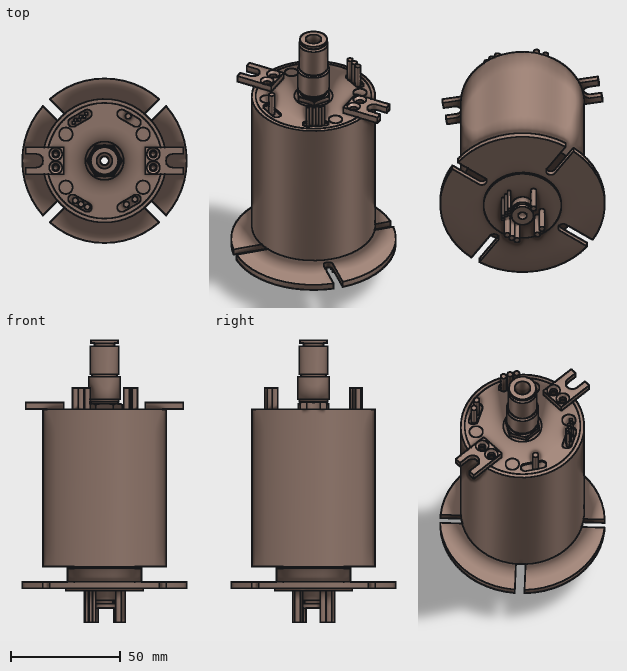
import cadquery as cq
import math

BORE_RADIUS = 1.9

STUB_BOTTOM = 6.4
PILOT_BOTTOM = 14.2
FLANGE_BOTTOM = 15.4
FLANGE_TOP = 18.3
HUB_TOP = 24.5
HOUSING_BOTTOM = 25.3
HOUSING_TOP = 97.0
FITTING_TOP = 128.3

FLANGE_RADIUS = 37.5
FLANGE_SLOT_WIDTH = 4.4
FLANGE_SLOT_INNER_END = 20.4
FLANGE_SLOT_COUNT = 4
PILOT_RADIUS = 17.7
HUB_RADIUS = 16.9
NECK_RADIUS = 13.9
SHAFT_RADIUS = 8.7
STUB_RADIUS = 5.0
STUB_GROOVE_RADIUS = 4.0
STUB_GROOVE_BOTTOM = 8.5
STUB_GROOVE_TOP = 10.0

HOUSING_RADIUS = 28.1
LID_RADIUS = 26.3
RIM_STEP = 0.1

LID_SPOT_RADIUS = 3.1
LID_SPOT_DEPTH = 0.1
LID_SPOT_X = 17.6
LID_SPOT_Y = 12.0

BRACKET_LENGTH = 17.5
BRACKET_WIDTH = 12.0
BRACKET_THICKNESS = 3.1
BRACKET_OUTER_END = 35.9
BRACKET_SLOT_WIDTH = 6.2
BRACKET_SLOT_INNER_END = 28.0
SCREW_X = 22.2
SCREW_PITCH = 6.2
SCREW_HEAD_RADIUS = 3.0
SCREW_CLEARANCE_RADIUS = 1.7
SCREW_TAP_RADIUS = 1.3
SCREW_TAP_DEPTH = 3.8
DRILL_POINT_SLOPE = 30

OUTLET_CIRCLE_RADIUS = 22.3
OUTLET_HALF_LENGTH = 3.8
OUTLET_RADIUS = 2.0
OUTLET_DEPTH = 1.0

THICK_WIRE_RADIUS = 1.3
THIN_WIRE_RADIUS = 0.7
UPPER_WIRE_TOP = 106.6
LOWER_CIRCLE_RADIUS = 9.1
LOWER_SPREAD = 0.85
THIN_WIRE_COUNT = 6
THIN_WIRE_PITCH = 1.4
THIN_WIRE_STAGGER = 0.4

SINGLE_WIRE = [(0.8, 0.6)]
WIRE_PAIR = [(-1.3, -0.1), (3.2, -0.3)]
WIRE_TRIO = [(-2.5, 0), (0.6, 0.1), (3.7, -0.3)]
THIN_WIRES = [
    ((i - (THIN_WIRE_COUNT - 1) / 2) * THIN_WIRE_PITCH, THIN_WIRE_STAGGER * (-1) ** i)
    for i in range(THIN_WIRE_COUNT)
]

BUNDLES = [
    (60, -45, THICK_WIRE_RADIUS, SINGLE_WIRE),
    (120, -135, THIN_WIRE_RADIUS, THIN_WIRES),
    (240, 135, THICK_WIRE_RADIUS, WIRE_TRIO),
    (300, 45, THICK_WIRE_RADIUS, WIRE_PAIR),
]

HEX_ACROSS_FLATS = 14.0
HEX_TOP = 99.3
HEX_CHAMFER_RADIUS = 7.5
HEX_CHAMFER_ANGLE = 30
SOCKET_RADIUS = 3.6
SOCKET_BOTTOM = 112.9
FITTING_BANDS = [
    (6.2, 100.3),
    (6.5, 101.4),
    (7.2, 111.7),
    (5.8, 112.8),
    (6.5, 125.6),
    (4.6, 127.0),
    (6.2, FITTING_TOP),
]


def disc(radius, bottom, top):
    """Solid cylinder about the Z axis between two heights."""
    return cq.Workplane("XY").workplane(offset=bottom).circle(radius).extrude(top - bottom)


def bundle_wires(circle_radius, angle, wire_radius, places, bottom, top):
    """Parallel wires grouped around one point of a circle about the axis."""
    points = [(circle_radius + radial, tangential) for tangential, radial in places]
    wires = cq.Workplane("XY").workplane(offset=bottom).pushPoints(points)
    wires = wires.circle(wire_radius).extrude(top - bottom, combine=False)
    return wires.rotate((0, 0, 0), (0, 0, 1), angle)


def make_flange():
    flange = disc(FLANGE_RADIUS, FLANGE_BOTTOM, FLANGE_TOP)
    end_radius = FLANGE_SLOT_WIDTH / 2
    start = FLANGE_SLOT_INNER_END + end_radius
    length = FLANGE_RADIUS - FLANGE_SLOT_INNER_END
    slot = (
        cq.Workplane("XY", origin=(start, 0, FLANGE_BOTTOM))
        .moveTo(0, -end_radius)
        .lineTo(length, -end_radius)
        .lineTo(length, end_radius)
        .lineTo(0, end_radius)
        .threePointArc((-end_radius, 0), (0, -end_radius))
        .close()
        .extrude(FLANGE_TOP - FLANGE_BOTTOM)
    )
    step = 360 / FLANGE_SLOT_COUNT
    for i in range(FLANGE_SLOT_COUNT):
        flange = flange.cut(slot.rotate((0, 0, 0), (0, 0, 1), step / 2 + i * step))
    return flange


def make_rotor():
    rotor = make_flange()
    rotor = rotor.union(disc(PILOT_RADIUS, PILOT_BOTTOM, FLANGE_BOTTOM))
    rotor = rotor.union(disc(HUB_RADIUS, FLANGE_TOP, HUB_TOP))
    rotor = rotor.union(disc(NECK_RADIUS, HUB_TOP, HOUSING_BOTTOM))
    rotor = rotor.union(disc(SHAFT_RADIUS, HOUSING_BOTTOM, HOUSING_TOP))
    rotor = rotor.union(disc(STUB_RADIUS, STUB_GROOVE_TOP, PILOT_BOTTOM))
    rotor = rotor.union(disc(STUB_GROOVE_RADIUS, STUB_GROOVE_BOTTOM, STUB_GROOVE_TOP))
    rotor = rotor.union(disc(STUB_RADIUS, STUB_BOTTOM, STUB_GROOVE_BOTTOM))
    for _, angle, wire_radius, places in BUNDLES:
        mirrored = [(-LOWER_SPREAD * tangential, radial) for tangential, radial in places]
        wires = bundle_wires(LOWER_CIRCLE_RADIUS, angle, wire_radius, mirrored, 0, PILOT_BOTTOM)
        rotor = rotor.union(wires)
    return rotor.cut(disc(BORE_RADIUS, STUB_BOTTOM, HOUSING_TOP))


def make_bracket():
    """Bracket on the +X side, with a slot open outward."""
    slot_center = BRACKET_SLOT_INNER_END + BRACKET_SLOT_WIDTH / 2
    slot_length = BRACKET_OUTER_END - slot_center
    plane = cq.Workplane("XY").workplane(offset=HOUSING_TOP)
    bracket = (
        plane.center(BRACKET_OUTER_END - BRACKET_LENGTH / 2, 0)
        .rect(BRACKET_LENGTH, BRACKET_WIDTH)
        .extrude(BRACKET_THICKNESS)
    )
    slot_end = plane.center(slot_center, 0).circle(BRACKET_SLOT_WIDTH / 2).extrude(BRACKET_THICKNESS)
    slot_mouth = (
        plane.center(slot_center + slot_length / 2, 0)
        .rect(slot_length, BRACKET_SLOT_WIDTH)
        .extrude(BRACKET_THICKNESS)
    )
    return bracket.cut(slot_end).cut(slot_mouth)


def screw_hole(x, y):
    """Countersunk clearance hole above a tapped hole with a conical drill point."""
    top = HOUSING_TOP + BRACKET_THICKNESS
    sink_bottom = top - (SCREW_HEAD_RADIUS - SCREW_CLEARANCE_RADIUS)
    tap_bottom = HOUSING_TOP - SCREW_TAP_DEPTH
    profile = [
        (0, top),
        (SCREW_HEAD_RADIUS, top),
        (SCREW_CLEARANCE_RADIUS, sink_bottom),
        (SCREW_CLEARANCE_RADIUS, HOUSING_TOP),
        (SCREW_TAP_RADIUS, HOUSING_TOP),
        (SCREW_TAP_RADIUS, tap_bottom),
        (0, tap_bottom - SCREW_TAP_RADIUS * math.tan(math.radians(DRILL_POINT_SLOPE))),
    ]
    hole = cq.Workplane("XZ").polyline(profile).close().revolve(360, (0, 0), (0, 1))
    return hole.translate((x, y, 0))


def wire_outlet(angle):
    """Shallow slot in the lid, tangent to the outlet circle."""
    slot = (
        cq.Workplane("XY", origin=(OUTLET_CIRCLE_RADIUS, 0, HOUSING_TOP - OUTLET_DEPTH))
        .slot2D(2 * (OUTLET_HALF_LENGTH + OUTLET_RADIUS), 2 * OUTLET_RADIUS, 90)
        .extrude(OUTLET_DEPTH)
    )
    return slot.rotate((0, 0, 0), (0, 0, 1), angle)


def make_housing():
    housing = disc(HOUSING_RADIUS, HOUSING_BOTTOM, HOUSING_TOP - RIM_STEP)
    housing = housing.union(disc(LID_RADIUS, HOUSING_TOP - RIM_STEP, HOUSING_TOP))
    housing = housing.cut(disc(SHAFT_RADIUS, HOUSING_BOTTOM, HOUSING_TOP))
    spots = (
        cq.Workplane("XY", origin=(0, 0, HOUSING_TOP - LID_SPOT_DEPTH))
        .rect(2 * LID_SPOT_X, 2 * LID_SPOT_Y, forConstruction=True)
        .vertices()
        .circle(LID_SPOT_RADIUS)
        .extrude(LID_SPOT_DEPTH)
    )
    housing = housing.cut(spots)
    bracket = make_bracket()
    for side in (0, 180):
        housing = housing.union(bracket.rotate((0, 0, 0), (0, 0, 1), side))
    for x in (-SCREW_X, SCREW_X):
        for y in (-SCREW_PITCH / 2, SCREW_PITCH / 2):
            housing = housing.cut(screw_hole(x, y))
    outlet_floor = HOUSING_TOP - OUTLET_DEPTH
    for angle, _, wire_radius, places in BUNDLES:
        wires = bundle_wires(OUTLET_CIRCLE_RADIUS, angle, wire_radius, places, outlet_floor, UPPER_WIRE_TOP)
        housing = housing.cut(wire_outlet(angle)).union(wires)
    return housing


def make_hexagon():
    """Hexagon with its corners chamfered at the top."""
    height = HEX_TOP - HOUSING_TOP
    corner_radius = HEX_ACROSS_FLATS / 2 / math.cos(math.radians(30))
    chamfer_height = (corner_radius - HEX_CHAMFER_RADIUS) * math.tan(math.radians(HEX_CHAMFER_ANGLE))
    prism = cq.Workplane("XY", origin=(0, 0, HOUSING_TOP)).polygon(6, 2 * corner_radius).extrude(height)
    profile = [
        (0, HOUSING_TOP),
        (corner_radius, HOUSING_TOP),
        (corner_radius, HEX_TOP - chamfer_height),
        (HEX_CHAMFER_RADIUS, HEX_TOP),
        (0, HEX_TOP),
    ]
    envelope = cq.Workplane("XZ").polyline(profile).close().revolve(360, (0, 0), (0, 1))
    return prism.intersect(envelope)


def make_fitting():
    fitting = make_hexagon()
    bottom = HEX_TOP
    for radius, top in FITTING_BANDS:
        fitting = fitting.union(disc(radius, bottom, top))
        bottom = top
    fitting = fitting.cut(disc(BORE_RADIUS, HOUSING_TOP, FITTING_TOP))
    return fitting.cut(disc(SOCKET_RADIUS, SOCKET_BOTTOM, FITTING_TOP))


rotor = make_rotor()
housing = make_housing()
fitting = make_fitting()

result = cq.Compound.makeCompound([body.solids().val() for body in (rotor, housing, fitting)])